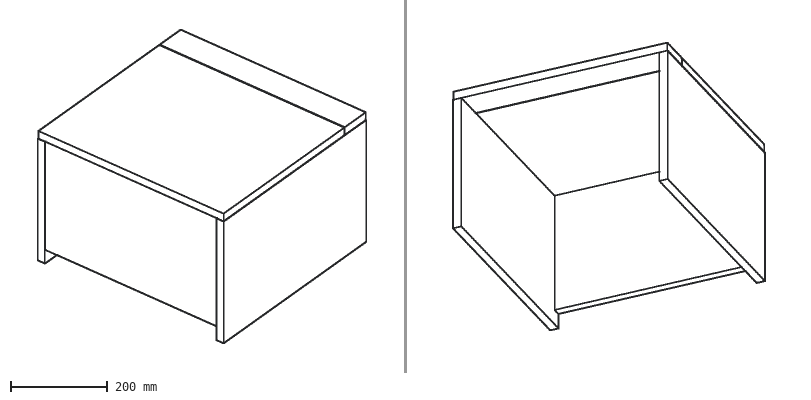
import cadquery as cq

WIDTH = 490.0
DEPTH = 475.0
HEIGHT = 324.0

SIDE_THICKNESS = 19.0
FRONT_THICKNESS = SIDE_THICKNESS
TOP_THICKNESS = 19.0
TOP_SIDE_INSET = 1.0
FRONT_INSET = 1.0
REAR_STRIP_DEPTH = 70.0
LID_GAP = 2.0
FLOOR_CLEARANCE = 34.0

side_height = HEIGHT - TOP_THICKNESS
top_width = WIDTH - 2 * TOP_SIDE_INSET
front_width = WIDTH - 2 * SIDE_THICKNESS
front_height = side_height - FLOOR_CLEARANCE
lid_depth = DEPTH - REAR_STRIP_DEPTH - LID_GAP - FRONT_INSET

front_y = -DEPTH / 2
rear_y = DEPTH / 2


def board(width, depth, height, x_centre, y_start, z_start):
    """Rectangular board centred on x_centre, running back from y_start and up from z_start."""
    return (
        cq.Workplane("XY")
        .box(width, depth, height, centered=(True, False, False))
        .translate((x_centre, y_start, z_start))
    )


def make_side_panel(direction):
    """Full-depth upright at the left (-1) or right (+1) end."""
    x_centre = direction * (WIDTH - SIDE_THICKNESS) / 2
    return board(SIDE_THICKNESS, DEPTH, side_height, x_centre, front_y, 0)


def make_front_panel():
    """Board between the side panels, flush with the front of the lid and raised off the floor."""
    return board(front_width, FRONT_THICKNESS, front_height, 0, front_y + FRONT_INSET, FLOOR_CLEARANCE)


def make_lid():
    """Large front part of the top, resting on the side panels and the front panel."""
    return board(top_width, lid_depth, TOP_THICKNESS, 0, front_y + FRONT_INSET, side_height)


def make_rear_strip():
    """Narrow rear part of the top, flush with the back of the side panels."""
    return board(top_width, REAR_STRIP_DEPTH, TOP_THICKNESS, 0, rear_y - REAR_STRIP_DEPTH, side_height)


side_panels = [make_side_panel(direction).val() for direction in (-1, 1)]
front_panel = make_front_panel()
lid = make_lid()
rear_strip = make_rear_strip()

result = cq.Compound.makeCompound(
    [*side_panels, front_panel.val(), lid.val(), rear_strip.val()]
)